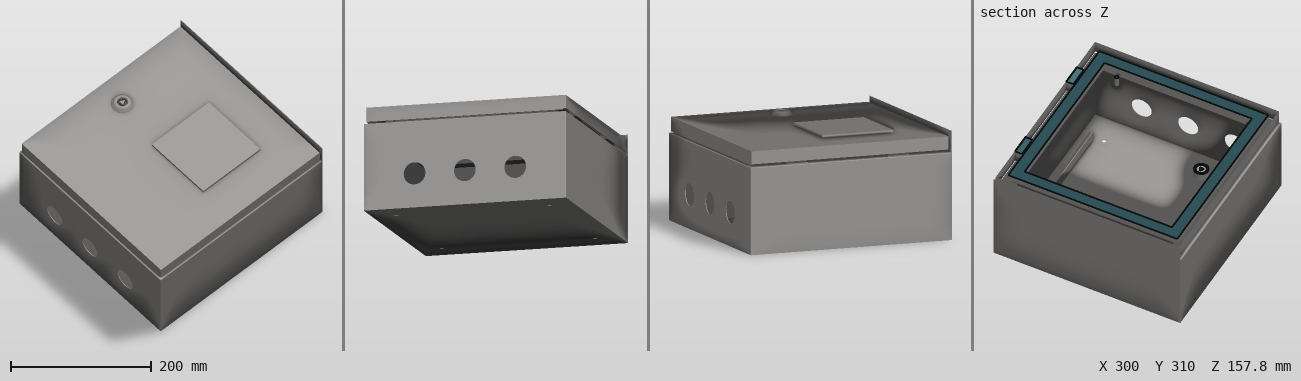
import cadquery as cq
import math

sheet = 1.0

width = 300.0
depth = 310.0
rim_height = 126.5
lip_height = 157.8
collar_inset = 24.8
cable_hole_diameter = 32.2
cable_hole_pitch = 74.7
cable_hole_height = 49.5
wall_hole_diameter = 6.5
wall_hole_inset_x = 36.3
wall_hole_inset_y = 41.5
rail_inset_x = 21.7
rail_inset_y = 50.8
rail_height = 18.5
pad_start = 3.7
pad_length = 17.5

door_left = 3.7
door_right = 299.5
door_front = 1.2
door_back = 305.5
door_bottom = 129.3
door_top = 150.0
door_inside = door_top - sheet
hinge_relief_start = 296.0
hinge_relief_top = 131.0
stud_x = 239.5
stud_y = 48.7
stud_diameter = 6.0
stud_length = 15.5

gasket_left = 13.5
gasket_front = 14.3
gasket_length_x = 272.2
gasket_length_y = 278.7
gasket_band = 18.0
gasket_thickness = 10.5
gasket_bottom = door_inside - gasket_thickness

hinge_left = 287.5
hinge_foot_left = 279.5
hinge_stem = 3.0
hinge_length = 33.0
hinge_starts = [57.5, 214.0]

lock_x = 48.5
lock_y = 153.8
lock_base_radius = 16.0
lock_shoulder_radius = 13.0
lock_shoulder_height = 3.7
lock_mouth_radius = 8.7
lock_height = 6.2
lock_bore_radius = 7.5
lock_bore_depth = 8.7
lock_bevel = lock_mouth_radius - lock_bore_radius
lock_shank_radius = 11.0
lock_shank_length = 12.5
key_circumradius = 5.0
key_below_top = 1.2

plate_left = 130.8
plate_front = 136.0
plate_size = 109.0
plate_thickness = 3.7


def box(x0, x1, y0, y1, z0, z1):
    """Box between two opposite corners."""
    return cq.Workplane("XY").box(x1 - x0, y1 - y0, z1 - z0, centered=False).translate((x0, y0, z0))


def inset_box(inset, z0, z1):
    """Box set in equally from all four sides of the housing."""
    return box(inset, width - inset, inset, depth - inset, z0, z1)


def make_housing():
    shell = inset_box(0, 0, rim_height).edges("|Z").fillet(sheet)
    shell = shell.faces(">Z").edges().fillet(sheet)
    shell = shell.cut(inset_box(sheet, sheet, rim_height - sheet))

    lip = box(0, width, depth - sheet, depth, 0, lip_height)
    collar = inset_box(collar_inset, rim_height - sheet, gasket_bottom)
    opening = inset_box(collar_inset + sheet, rim_height - sheet, gasket_bottom)
    shell = shell.union(lip).union(collar).cut(opening)

    pad_front = lock_y - pad_length / 2
    pad = box(pad_start, collar_inset, pad_front, pad_front + pad_length, rim_height, rim_height + sheet)
    shell = shell.union(pad)

    for rail_left in (rail_inset_x, width - rail_inset_x - sheet):
        rail_right = rail_left + sheet
        rail = box(rail_left, rail_right, rail_inset_y, depth - rail_inset_y, sheet, sheet + rail_height)
        shell = shell.union(rail)

    cable_holes = (
        cq.Workplane("XZ", origin=(width / 2, 0, cable_hole_height))
        .rarray(cable_hole_pitch, 3, 3, 1)
        .circle(cable_hole_diameter / 2)
        .extrude(-2 * sheet)
    )
    wall_holes = (
        cq.Workplane("XY", origin=(width / 2, depth / 2, 0))
        .rarray(width - 2 * wall_hole_inset_x, depth - 2 * wall_hole_inset_y, 2, 2)
        .circle(wall_hole_diameter / 2)
        .extrude(sheet)
    )
    return shell.cut(cable_holes).cut(wall_holes)


def make_door():
    tray = box(door_left, door_right, door_front, door_back, door_bottom, door_top)
    tray = tray.edges("|Z and <Y").fillet(sheet)
    cavity = box(
        door_left + sheet, door_right - sheet, door_front + sheet, door_back - sheet, door_bottom, door_inside
    )
    hinge_relief = box(hinge_relief_start, door_right, door_front, door_back, door_bottom, hinge_relief_top)
    stud = (
        cq.Workplane("XY", origin=(stud_x, stud_y, door_inside))
        .circle(stud_diameter / 2)
        .extrude(-stud_length)
    )
    lock_hole = (
        cq.Workplane("XY", origin=(lock_x, lock_y, door_inside))
        .circle(lock_shank_radius)
        .extrude(sheet)
    )
    return tray.cut(cavity).cut(hinge_relief).union(stud).cut(lock_hole)


def make_gasket():
    right = gasket_left + gasket_length_x
    back = gasket_front + gasket_length_y
    outer = box(gasket_left, right, gasket_front, back, gasket_bottom, door_inside)
    inner = box(
        gasket_left + gasket_band,
        right - gasket_band,
        gasket_front + gasket_band,
        back - gasket_band,
        gasket_bottom,
        door_inside,
    )
    return outer.cut(inner)


def make_hinge(start_y):
    """Block inside the door, joined by a narrow stem to a thin foot on the housing rim."""
    end_y = start_y + hinge_length
    block = box(hinge_left, door_right - sheet, start_y, end_y, hinge_relief_top, door_inside)
    stem = box(hinge_left, hinge_left + hinge_stem, start_y, end_y, rim_height, hinge_relief_top)
    foot = box(hinge_foot_left, hinge_relief_start, start_y, end_y, rim_height, rim_height + sheet)
    return block.union(stem).union(foot)


def make_lock():
    """Domed lock with a sunk triangular key post; heights count from the door's outer face."""
    shank_bottom = -sheet - lock_shank_length
    rise = lock_height - lock_shoulder_height
    run = lock_shoulder_radius - lock_mouth_radius
    dome_radius = (rise**2 + run**2) / (2 * rise)
    half_angle = math.atan2(run, dome_radius - rise) / 2
    dome_middle = (
        lock_mouth_radius + dome_radius * math.sin(half_angle),
        lock_height - dome_radius * (1 - math.cos(half_angle)),
    )
    bore_floor = lock_height - lock_bore_depth
    body = (
        cq.Workplane("XZ")
        .moveTo(0, shank_bottom)
        .lineTo(lock_shank_radius, shank_bottom)
        .lineTo(lock_shank_radius, 0)
        .lineTo(lock_base_radius, 0)
        .lineTo(lock_shoulder_radius, lock_shoulder_height)
        .threePointArc(dome_middle, (lock_mouth_radius, lock_height))
        .lineTo(lock_bore_radius, lock_height - lock_bevel)
        .lineTo(lock_bore_radius, bore_floor)
        .lineTo(0, bore_floor)
        .close()
        .revolve(360, (0, 0, 0), (0, 1, 0))
    )
    key_post = (
        cq.Workplane("XY")
        .workplane(offset=bore_floor)
        .transformed(rotate=(0, 0, 90))
        .polygon(3, 2 * key_circumradius)
        .extrude(lock_bore_depth - key_below_top)
    )
    return body.union(key_post).translate((lock_x, lock_y, door_top))


def make_plate():
    return box(
        plate_left,
        plate_left + plate_size,
        plate_front,
        plate_front + plate_size,
        door_top,
        door_top + plate_thickness,
    )


housing = make_housing()
door = make_door()
gasket = make_gasket()
hinges = [make_hinge(start_y) for start_y in hinge_starts]
lock = make_lock()
plate = make_plate()

result = cq.Compound.makeCompound(
    [housing.val(), door.val(), gasket.val(), *[hinge.val() for hinge in hinges], lock.val(), plate.val()]
)